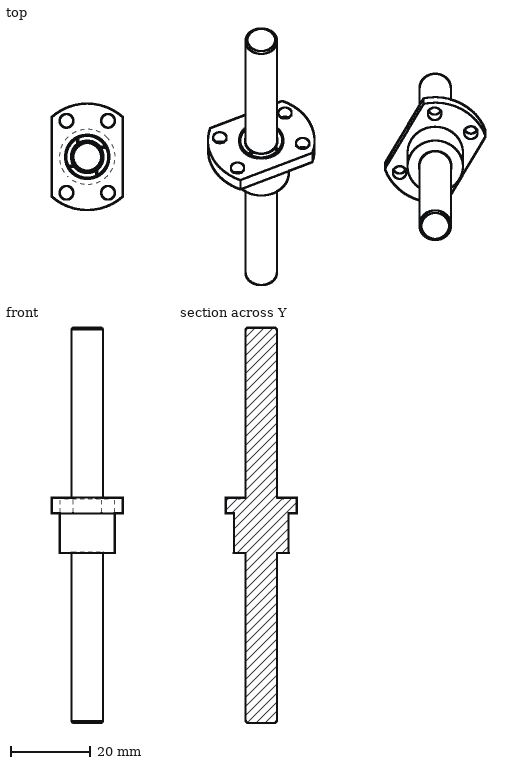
import cadquery as cq
import math

shaft_length = 100.0
shaft_diameter = 8.0
shaft_chamfer = 0.5

nut_length = 14.0
body_diameter = 14.0
flange_diameter = 27.0
flange_width = 18.0
flange_thickness = 4.0
nut_top = nut_length / 2
nut_bottom = -nut_length / 2

hole_diameter = 3.4
hole_circle_diameter = 21.0
hole_angle_from_x = 60.0

bore_diameter = 8.2
seal_diameter = 11.2
groove_depth = 0.3
slit_width = 0.3
slit_offset = 2.4
slit_count = 4


def make_shaft():
    shaft = cq.Workplane("XY").circle(shaft_diameter / 2).extrude(shaft_length / 2, both=True)
    return shaft.faces("|Z").edges().chamfer(shaft_chamfer)


def make_flange():
    """Round flange with two flats parallel to YZ and four through holes."""
    flange_plane = cq.Workplane("XY").workplane(offset=nut_top - flange_thickness)
    disc = flange_plane.circle(flange_diameter / 2).extrude(flange_thickness)
    flats = flange_plane.rect(flange_width, flange_diameter).extrude(flange_thickness)

    hole_x = hole_circle_diameter / 2 * math.cos(math.radians(hole_angle_from_x))
    hole_y = hole_circle_diameter / 2 * math.sin(math.radians(hole_angle_from_x))
    holes = (
        flange_plane.rect(2 * hole_x, 2 * hole_y, forConstruction=True)
        .vertices()
        .circle(hole_diameter / 2)
        .extrude(flange_thickness)
    )
    return disc.intersect(flats).cut(holes)


def make_body():
    body_plane = cq.Workplane("XY").workplane(offset=nut_bottom)
    return body_plane.circle(body_diameter / 2).extrude(nut_length - flange_thickness)


def make_seal_groove():
    """Groove with a straight outer wall and a 45 degree inner wall."""
    seal_radius = seal_diameter / 2
    profile = [
        (seal_radius, nut_top),
        (seal_radius, nut_top - groove_depth),
        (seal_radius - groove_depth, nut_top),
    ]
    return cq.Workplane("XZ").polyline(profile).close().revolve(360, (0, 0), (0, 1))


def make_bore_recess(start_z):
    """Shallow recess that leaves a clearance gap around the shaft, going up from start_z."""
    return cq.Workplane("XY").workplane(offset=start_z).circle(bore_diameter / 2).extrude(groove_depth)


def cut_slits(nut):
    """Cut off-centre slits across the seal ring, from the bore to the seal groove."""
    slit_end = math.sqrt((seal_diameter / 2) ** 2 - (slit_offset + slit_width / 2) ** 2)
    slit = (
        cq.Workplane("XY")
        .workplane(offset=nut_top - groove_depth)
        .center(slit_end / 2, slit_offset)
        .rect(slit_end, slit_width)
        .extrude(groove_depth)
    )
    for index in range(slit_count):
        nut = nut.cut(slit.rotate((0, 0, 0), (0, 0, 1), index * 360 / slit_count))
    return nut


nut = make_flange().union(make_body())
nut = nut.cut(make_seal_groove())
nut = nut.cut(make_bore_recess(nut_top - groove_depth)).cut(make_bore_recess(nut_bottom))
nut = cut_slits(nut)
result = nut.union(make_shaft())